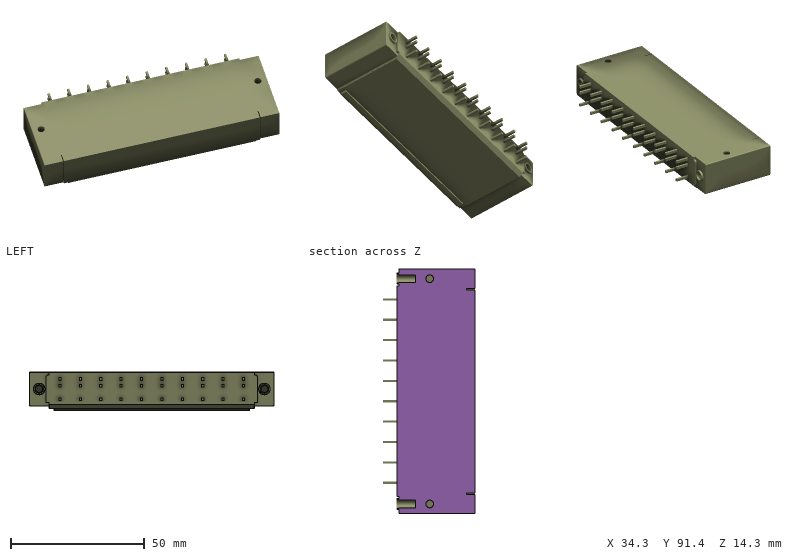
import cadquery as cq

overall_length = 34.25
overall_width = 91.44
overall_height = 14.32
half_width = overall_width / 2

pin_projection = 5.0
body_half_width = 38.4
body_height = 13.65
body_side_height = 13.4
front_chamfer = 1.5

pad_half_width = 38.25
side_relief_start = 18.7
side_relief_depth = 0.3

flange_setback = 0.8
flange_front = pin_projection + flange_setback
flange_height = 12.7
flange_top_radius = 0.35
flange_bottom_radius = 0.5

tab_half_width = 39.5
tab_top = -1.1
tab_bottom = -11.3
tab_corner_radius = 0.8

slit_start = 31.1
slit_width = 0.35

rib_half_width = 36.5
rib_front = 31.4
rib_flat_length = 1.5
rib_rear_height = 0.35

fixing_y = 42.1
fixing_hole_x = 17.3
fixing_hole_diameter = 2.7
fixing_hole_depth = 6.35
bush_z = -6.3
bush_diameter = 4.3
bush_bore_diameter = 3.2
bush_bore_depth = 0.8
inner_bore_diameter = 2.7
inner_bore_depth = 6.0

pin_columns = 10
column_pitch = 7.62
row_pitch = 2.54
pin_rows = (1, 2, 4)
pin_width = 0.8
pin_height = 1.0
pin_embed = 1.0


def box(x_range, y_range, z_range):
    """Box spanning the given (low, high) limits on each axis."""
    limits = (x_range, y_range, z_range)
    size = [high - low for low, high in limits]
    corner = tuple(low for low, high in limits)
    return cq.Workplane("XY").box(*size, centered=False).translate(corner)


def make_housing():
    housing = box(
        (pin_projection, overall_length),
        (-body_half_width, body_half_width),
        (-body_side_height, 0),
    )
    pad = box(
        (pin_projection, rib_front),
        (-pad_half_width, pad_half_width),
        (-body_height, -body_side_height),
    )
    housing = housing.union(pad)
    chamfer_wedge = (
        cq.Workplane("XZ")
        .moveTo(pin_projection, -body_height)
        .lineTo(pin_projection + front_chamfer, -body_height)
        .lineTo(pin_projection, -body_height + front_chamfer)
        .close()
        .extrude(body_half_width, both=True)
    )
    housing = housing.cut(chamfer_wedge)
    for side in (-1, 1):
        housing = housing.cut(side_relief(side))
    return housing


def side_relief(side):
    """Wedge that leans the lower housing side inwards below the flange."""
    return (
        cq.Workplane("YZ", origin=(side_relief_start, 0, 0))
        .moveTo(side * body_half_width, -flange_height)
        .lineTo(side * body_half_width, -body_side_height)
        .lineTo(side * (body_half_width - side_relief_depth), -body_side_height)
        .close()
        .extrude(overall_length - side_relief_start)
    )


def make_flanges():
    bar = box((flange_front, overall_length), (-half_width, half_width), (-flange_height, 0))
    bar = bar.edges("|X and >Z").fillet(flange_top_radius)
    return bar.edges("|X and <Z").fillet(flange_bottom_radius)


def make_tabs():
    tabs = box(
        (pin_projection, flange_front),
        (-tab_half_width, tab_half_width),
        (tab_bottom, tab_top),
    )
    return tabs.edges("|X and >Z").fillet(tab_corner_radius)


def make_rib():
    profile = (
        cq.Workplane("XZ")
        .moveTo(rib_front, -overall_height)
        .lineTo(rib_front + rib_flat_length, -overall_height)
        .lineTo(overall_length, -body_side_height - rib_rear_height)
        .lineTo(overall_length, -body_side_height)
        .lineTo(rib_front, -body_side_height)
        .close()
    )
    return profile.extrude(rib_half_width, both=True)


def cylinder_along_x(diameter, start, end, y):
    return cq.Workplane("YZ", origin=(start, y, bush_z)).circle(diameter / 2).extrude(end - start)


def add_fixing(part, side):
    """Front bush with a stepped blind bore, and the blind hole from the top."""
    y = side * fixing_y
    step = pin_projection + bush_bore_depth
    part = part.union(cylinder_along_x(bush_diameter, pin_projection, flange_front, y))
    part = part.cut(cylinder_along_x(bush_bore_diameter, pin_projection, step, y))
    part = part.cut(cylinder_along_x(inner_bore_diameter, step, step + inner_bore_depth, y))
    top_hole = (
        cq.Workplane("XY", origin=(fixing_hole_x, y, 0))
        .circle(fixing_hole_diameter / 2)
        .extrude(-fixing_hole_depth)
    )
    return part.cut(top_hole)


def cut_slit(part, side):
    outer = side * body_half_width
    inner = outer - side * slit_width
    slit = box((slit_start, overall_length), sorted((inner, outer)), (-flange_height, 0))
    return part.cut(slit)


def add_pins(part):
    for column in range(pin_columns):
        y = (column - (pin_columns - 1) / 2) * column_pitch
        for row in pin_rows:
            z = -row * row_pitch
            pin = box(
                (0, pin_projection + pin_embed),
                (y - pin_width / 2, y + pin_width / 2),
                (z - pin_height / 2, z + pin_height / 2),
            )
            part = part.union(pin)
    return part


result = make_housing().union(make_flanges()).union(make_tabs()).union(make_rib())
for side in (-1, 1):
    result = add_fixing(result, side)
    result = cut_slit(result, side)
result = add_pins(result)